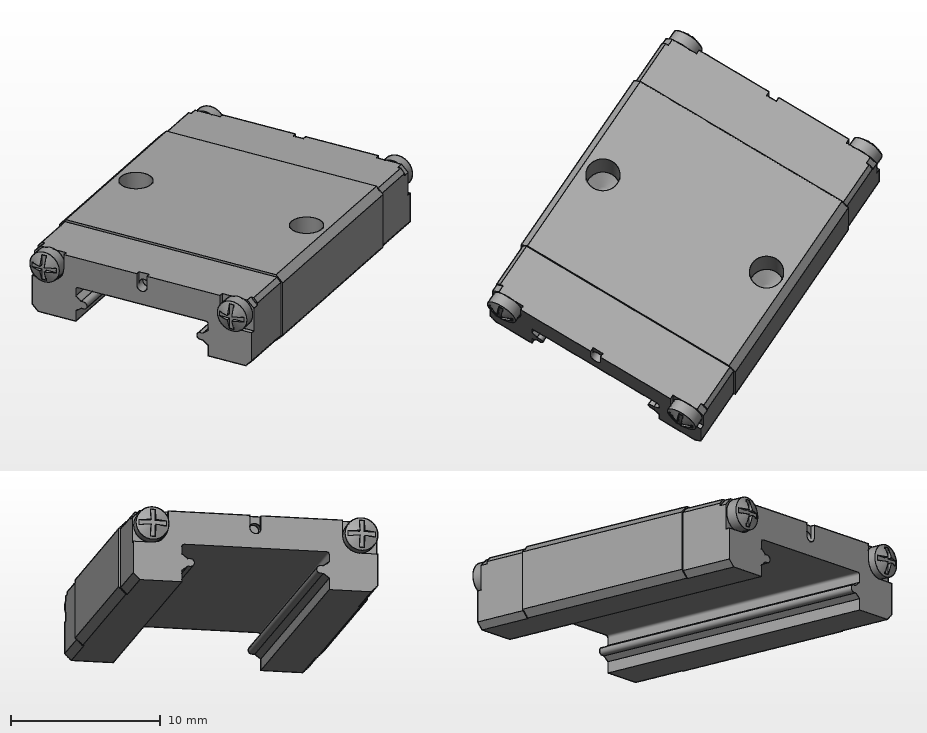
import cadquery as cq
import math

BLOCK_WIDTH = 17.0
BLOCK_LENGTH = 14.03
BLOCK_HEIGHT = 5.0
EDGE_CHAMFER = 0.5

SIDE_STEP = 0.15
TOP_STEP = 0.17
END_WIDTH = BLOCK_WIDTH - 2 * SIDE_STEP
END_HEIGHT = BLOCK_HEIGHT - TOP_STEP
CAP_FACE_Y = 10.25
PLATE_FACE_Y = 11.07
PLATE_THICKNESS = PLATE_FACE_Y - CAP_FACE_Y
CAP_TOP_RUN = 0.29
CAP_TOP_DROP = EDGE_CHAMFER - TOP_STEP
PLATE_TOP_CHAMFER = 0.5
END_BOTTOM_CHAMFER = 0.45

CHANNEL_HALF_WIDTH = 5.03
CHANNEL_HEIGHT = 2.6
CHANNEL_CORNER = 0.2
LIP_Z = 1.35
LIP_BASE_HALF = 0.57
LIP_HALF = 0.26
LIP_TAPER = 0.4
LIP_REACH = 0.85

RECESS_DEPTH = 0.3

SCREW_X = 7.13
SCREW_Z = 3.82
SCREW_TIP_Y = 11.93
HEAD_RADIUS = 1.12
POINT_HEIGHT = 0.35
CROSS_LENGTH = 1.85
CROSS_WIDTH = 0.33
CROSS_DEPTH = 0.3
SEAT_RADIUS = 1.2
SEAT_Y = PLATE_FACE_Y - RECESS_DEPTH

SLOT_RADIUS = 0.38
SLOT_Z = 3.98

HOLE_X = 6.5
HOLE_RADIUS = 1.15
HOLE_DEPTH = 2.39
DRILL_POINT_ANGLE = 118.0


def bar(width, height, length, top_run, top_drop, bottom_chamfer):
    """Bar along Y, centred on X and Y and standing on Z = 0, with bevelled long edges."""
    half = width / 2
    return (
        cq.Workplane("XZ")
        .moveTo(half - bottom_chamfer, 0)
        .lineTo(half, bottom_chamfer)
        .lineTo(half, height - top_drop)
        .lineTo(half - top_run, height)
        .lineTo(top_run - half, height)
        .lineTo(-half, height - top_drop)
        .lineTo(-half, bottom_chamfer)
        .lineTo(bottom_chamfer - half, 0)
        .close()
        .extrude(length / 2, both=True)
    )


def channel():
    """Rail channel through the full length."""
    length = 2 * PLATE_FACE_Y
    void = cq.Workplane("XY").box(
        2 * CHANNEL_HALF_WIDTH, length, CHANNEL_HEIGHT, centered=(True, True, False)
    )
    return void.faces(">Z").edges("|Y").fillet(CHANNEL_CORNER)


def lip():
    """Round-nosed lip on the +X wall of the channel."""
    knee_x = CHANNEL_HALF_WIDTH - LIP_TAPER
    tip_x = CHANNEL_HALF_WIDTH - LIP_REACH
    return (
        cq.Workplane("XZ")
        .moveTo(CHANNEL_HALF_WIDTH, LIP_Z - LIP_BASE_HALF)
        .lineTo(knee_x, LIP_Z - LIP_HALF)
        .lineTo(tip_x + LIP_HALF, LIP_Z - LIP_HALF)
        .threePointArc((tip_x, LIP_Z), (tip_x + LIP_HALF, LIP_Z + LIP_HALF))
        .lineTo(knee_x, LIP_Z + LIP_HALF)
        .lineTo(CHANNEL_HALF_WIDTH, LIP_Z + LIP_BASE_HALF)
        .close()
        .extrude(PLATE_FACE_Y, both=True)
    )


def screw_seat():
    """Recess in the +X corner of the -Y plate, open to the side and the top."""
    inner_x = SCREW_X - SEAT_RADIUS
    diagonal = SEAT_RADIUS * math.sqrt(0.5)
    return (
        cq.Workplane("XZ", origin=(0, -SEAT_Y, 0))
        .moveTo(inner_x, BLOCK_HEIGHT)
        .lineTo(inner_x, SCREW_Z)
        .threePointArc((SCREW_X - diagonal, SCREW_Z - diagonal), (SCREW_X, SCREW_Z - SEAT_RADIUS))
        .lineTo(BLOCK_WIDTH / 2, SCREW_Z - SEAT_RADIUS)
        .lineTo(BLOCK_WIDTH / 2, BLOCK_HEIGHT)
        .close()
        .extrude(RECESS_DEPTH)
    )


def screw_head():
    """Conical cross-slot screw head standing on the +X seat of the -Y plate."""
    tip = SCREW_TIP_Y - SEAT_Y
    shoulder = tip - POINT_HEIGHT
    corner_radius = CROSS_WIDTH / 2 * math.sqrt(2)
    apex = shoulder + POINT_HEIGHT * HEAD_RADIUS / (HEAD_RADIUS - corner_radius)
    head = (
        cq.Workplane("XY")
        .lineTo(HEAD_RADIUS, 0)
        .lineTo(HEAD_RADIUS, shoulder)
        .lineTo(0, apex)
        .close()
        .revolve(360, (0, 0, 0), (0, 1, 0))
    )
    floor = tip - CROSS_DEPTH
    for length, width in ((CROSS_LENGTH, CROSS_WIDTH), (CROSS_WIDTH, CROSS_LENGTH)):
        slot = cq.Workplane("XZ", origin=(0, apex, 0)).rect(length, width).extrude(apex - floor)
        head = head.cut(slot)
    return head.rotate((0, 0, 0), (0, 0, 1), 180).translate((SCREW_X, -SEAT_Y, SCREW_Z))


def plate_port():
    """Round port through the -Y plate with a shallow slot from it up to the top edge."""
    port = (
        cq.Workplane("XZ", origin=(0, -CAP_FACE_Y, 0))
        .center(0, SLOT_Z)
        .circle(SLOT_RADIUS)
        .extrude(PLATE_THICKNESS)
    )
    slot = cq.Workplane("XY").box(
        2 * SLOT_RADIUS, RECESS_DEPTH, BLOCK_HEIGHT - SLOT_Z, centered=(True, False, False)
    )
    return port.union(slot.translate((0, -PLATE_FACE_Y, SLOT_Z)))


def mounting_hole():
    """Blind drilled hole with a conical bottom, on the +X side."""
    point = HOLE_RADIUS / math.tan(math.radians(DRILL_POINT_ANGLE / 2))
    return (
        cq.Workplane("XZ")
        .moveTo(0, BLOCK_HEIGHT)
        .lineTo(HOLE_RADIUS, BLOCK_HEIGHT)
        .lineTo(HOLE_RADIUS, BLOCK_HEIGHT - HOLE_DEPTH)
        .lineTo(0, BLOCK_HEIGHT - HOLE_DEPTH - point)
        .close()
        .revolve(360, (0, 0, 0), (0, 1, 0))
        .translate((HOLE_X, 0, 0))
    )


def both_sides(shape):
    """The shape and its mirror image across X = 0."""
    return [shape, shape.mirror("YZ")]


def both_ends(shape):
    """The shape and its mirror image across Y = 0."""
    return [shape, shape.mirror("XZ")]


result = bar(BLOCK_WIDTH, BLOCK_HEIGHT, BLOCK_LENGTH, EDGE_CHAMFER, EDGE_CHAMFER, EDGE_CHAMFER)
caps = bar(END_WIDTH, END_HEIGHT, 2 * CAP_FACE_Y, CAP_TOP_RUN, CAP_TOP_DROP, END_BOTTOM_CHAMFER)
plates = bar(
    END_WIDTH, END_HEIGHT, 2 * PLATE_FACE_Y, PLATE_TOP_CHAMFER, PLATE_TOP_CHAMFER, END_BOTTOM_CHAMFER
)
result = result.union(caps).union(plates)
result = result.cut(channel())
for wall_lip in both_sides(lip()):
    result = result.union(wall_lip)

for hole in both_sides(mounting_hole()):
    result = result.cut(hole)
for port in both_ends(plate_port()):
    result = result.cut(port)
for side_seat in both_sides(screw_seat()):
    for seat in both_ends(side_seat):
        result = result.cut(seat)

for side_head in both_sides(screw_head()):
    for head in both_ends(side_head):
        result = result.union(head)